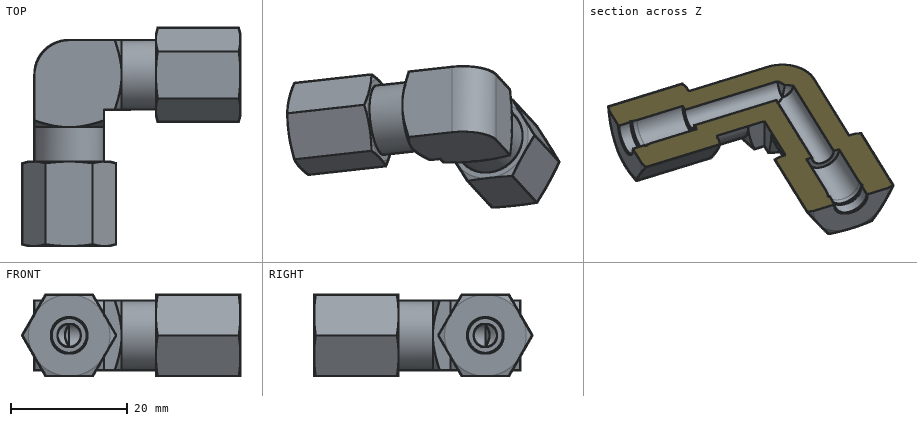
import cadquery as cq
import math

body_width = 12.0
half_width = body_width / 2
square_end = 9.0
body_chamfer_angle = 25.0
outer_corner_radius = half_width

hex_sides = 6
hex_across_flats = 14.0
hex_across_corners = hex_across_flats / math.cos(math.pi / hex_sides)
nut_end = 29.4
nut_length = 14.5
nut_start = nut_end - nut_length
nut_chamfer_angle = 15.0

flow_diameter = 4.0
drill_point_angle = 120.0
socket_diameter = 6.0
socket_depth = 12.0
mouth_chamfer = 0.15

relief_diameter = 6.4
relief_width = 0.35
relief_start_depth = 2.3
lead_in_diameter = 6.2
lead_in_length = 0.85


def revolve_about_x(profile):
    """Turn a closed (x, radius) profile around the X axis."""
    return cq.Workplane("XY").polyline(profile).close().revolve(360, (0, 0, 0), (1, 0, 0))


def to_second_port(shape):
    """Turn a shape of the +X port onto the -Y port, as a mirror image in the elbow's symmetry plane."""
    return shape.mirror("YZ").rotate((0, 0, 0), (0, 0, 1), 90)


def make_body_arm():
    """Square arm whose end corners are turned off conically."""
    arm = (
        cq.Workplane("XY")
        .box(square_end + half_width, body_width, body_width)
        .translate(((square_end - half_width) / 2, 0, 0))
        .edges("|Z and <X and >Y")
        .fillet(outer_corner_radius)
    )
    turning_radius = body_width
    taper_length = (turning_radius - half_width) * math.tan(math.radians(body_chamfer_angle))
    envelope = revolve_about_x([
        (-turning_radius, 0),
        (-turning_radius, turning_radius),
        (square_end - taper_length, turning_radius),
        (square_end, half_width),
        (square_end, 0),
    ])
    return arm.intersect(envelope)


def make_neck():
    """Round neck between the square arm and the nut."""
    return cq.Workplane("YZ").circle(half_width).extrude(nut_start)


def make_nut():
    """Hexagonal nut with both ends chamfered to the across-flats circle."""
    prism = (
        cq.Workplane("YZ")
        .workplane(offset=nut_start)
        .polygon(hex_sides, hex_across_corners)
        .extrude(nut_length)
    )
    flat_radius = hex_across_flats / 2
    corner_radius = hex_across_corners / 2
    taper_length = (corner_radius - flat_radius) * math.tan(math.radians(nut_chamfer_angle))
    envelope = revolve_about_x([
        (nut_start, 0),
        (nut_start, flat_radius),
        (nut_start + taper_length, corner_radius),
        (nut_end - taper_length, corner_radius),
        (nut_end, flat_radius),
        (nut_end, 0),
    ])
    return prism.intersect(envelope)


def make_passage():
    """Flow bore with a drill point, tube socket, mouth chamfer, relief ring and lead-in cone."""
    flow_radius = flow_diameter / 2
    socket_radius = socket_diameter / 2
    point_length = flow_radius / math.tan(math.radians(drill_point_angle / 2))
    socket_floor = nut_end - socket_depth
    relief_start = nut_end - relief_start_depth
    relief_end = relief_start - relief_width
    return revolve_about_x([
        (-point_length, 0),
        (0, flow_radius),
        (socket_floor, flow_radius),
        (socket_floor, socket_radius),
        (relief_end - lead_in_length, socket_radius),
        (relief_end, lead_in_diameter / 2),
        (relief_end, relief_diameter / 2),
        (relief_start, relief_diameter / 2),
        (relief_start, socket_radius),
        (nut_end - mouth_chamfer, socket_radius),
        (nut_end, socket_radius + mouth_chamfer),
        (nut_end, 0),
    ])


port = make_body_arm().union(make_neck()).union(make_nut())
passage = make_passage()

result = port.union(to_second_port(port)).cut(passage).cut(to_second_port(passage))